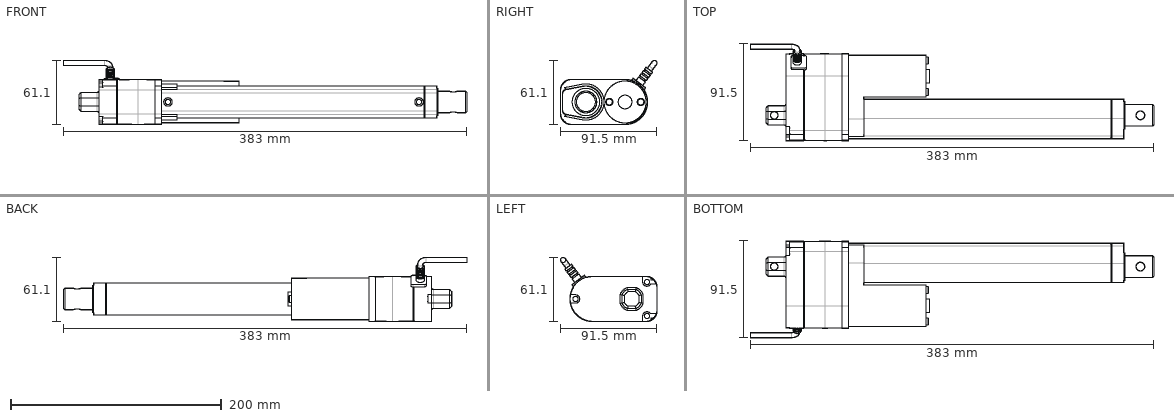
import cadquery as cq
import math


OVERALL_LENGTH = 383.0

HOUSING_HALF_HEIGHT = 21.5
HOUSING_SIDE_Y = -24.0
MOTOR_Y = 37.0
CORNER_RADIUS = 10.0
CORNER_FLAT_DISTANCE = 9.0
CAP_LENGTH = 16.5
GROOVE_WIDTH = 1.0
GROOVE_DEPTH = 0.57
SEAM_X = 37.0
FLANGE_X = 53.2
HOUSING_END_X = 59.5
DRAFT_ANGLE = 0.8

SCREW_POCKET_DIAMETER = 8.0
SCREW_POCKET_DEPTH = 3.5
SIDE_OPENING_WIDTH = 4.2
SCREW_HOLE_DIAMETER = 5.0
SCREW_HOLE_DEPTH = 4.0
CORNER_SCREW_Y = -14.5
CORNER_SCREW_Z = 16.0
MOTOR_SCREW_Y = 53.2

MOTOR_DIAMETER = 40.0
MOTOR_END_X = 133.0
MOTOR_BOSS_DIAMETER = 13.0
MOTOR_BOSS_HEIGHT = 3.5
LUG_DIAMETER = 7.0
LUG_HEIGHT = 2.3
LUG_CHAMFER = 0.57
LUG_OFFSET = 15.0

TUBE_RADIUS = 15.5
TUBE_SIDE_Y = -22.2
TUBE_SLOPE = math.radians(11)
TUBE_FILLET = 3.5
TUBE_GROOVE_X = 308.3
TUBE_END_X = 320.5
RING_DIAMETER = 26.0
RING_HEIGHT = 1.0
COLLAR_RADIUS = 17.2
COLLAR_SIDE_Y = -20.3
COLLAR_UNDERCUT = 2.5
COLLAR_END_X = 74.0
SIDE_SCREW_DIAMETER = 8.0
SIDE_SCREW_DEPTH = 2.3
SIDE_SOCKET_DIAMETER = 5.0
SIDE_SOCKET_DEPTH = 1.0
SIDE_SCREW_XS = (65.5, 303.5)

OUTLET_ANGLE = math.radians(53)
OUTLET_X = 10.7
PAD_X = 12.3
PAD_SIZE = 15.0
PAD_CORNER = 2.0
PAD_BOTTOM = 17.2
PAD_TOP = 22.5
GLAND_DIAMETER = 8.0
GLAND_TOP = 38.3
GLAND_GROOVE_DIAMETER = 6.0
GLAND_GROOVE_WIDTH = 1.5
GLAND_GROOVE_COUNT = 3
GLAND_GROOVE_PITCH = 4.0
CABLE_DIAMETER = 5.0
CABLE_HEIGHT = 46.5
CABLE_BEND_RADIUS = 5.5
CABLE_END_X = -33.7

MOUNT_END_X = -19.0
MOUNT_DIAMETER = 20.0
MOUNT_FLATS = 18.5
MOUNT_CHAMFER = 2.3
MOUNT_BASE_FILLET = 1.72
MOUNT_HOLE_DIAMETER = 7.0
MOUNT_HOLE_X = -11.0

ROD_DIAMETER = 20.5
ROD_END_X = CABLE_END_X + OVERALL_LENGTH
ROD_CHAMFER = 1.35
ROD_HOLE_DIAMETER = 8.0
ROD_HOLE_X = 336.2


def section(x):
    """Workplane across the stroke axis, with local axes along Y and Z."""
    return cq.Workplane("YZ", origin=(x, 0, 0))


def cylinder_x(diameter, x_start, x_end, y=0.0, z=0.0):
    return section(x_start).center(y, z).circle(diameter / 2).extrude(x_end - x_start)


def housing_outline(x, inset=0.0):
    """Gearbox outline: half round about the motor axis, two rounded corners on the tube side."""
    half = HOUSING_HALF_HEIGHT - inset
    side = HOUSING_SIDE_Y + inset
    radius = CORNER_RADIUS - inset
    centre_y = side + radius
    centre_z = half - radius
    arc = radius * math.sqrt(0.5)
    return (
        section(x)
        .moveTo(MOTOR_Y, half)
        .lineTo(centre_y, half)
        .threePointArc((centre_y - arc, centre_z + arc), (side, centre_z))
        .lineTo(side, -centre_z)
        .threePointArc((centre_y - arc, -centre_z - arc), (centre_y, -half))
        .lineTo(MOTOR_Y, -half)
        .threePointArc((MOTOR_Y + half, 0), (MOTOR_Y, half))
        .close()
    )


def cut_corner_flats(body, x_start, x_end):
    """Cut a 45 degree flat across both rounded corners between two X positions."""
    centre_y = HOUSING_SIDE_Y + CORNER_RADIUS
    centre_z = HOUSING_HALF_HEIGHT - CORNER_RADIUS
    for side in (1, -1):
        cutter = (
            cq.Workplane("XY")
            .box(x_end - x_start, CORNER_RADIUS, 2 * CORNER_RADIUS, centered=(False, False, True))
            .translate((x_start, CORNER_FLAT_DISTANCE, 0))
            .rotate((0, 0, 0), (1, 0, 0), 180 - 45 * side)
            .translate((0, centre_y, side * centre_z))
        )
        body = body.cut(cutter)
    return body


def cut_screw_pocket(body, y, z, openings):
    """Round pocket in the rear face with a screw hole, and openings as (Y direction, Z direction, width)."""
    size = SCREW_POCKET_DIAMETER
    body = body.cut(cylinder_x(size, 0, SCREW_POCKET_DEPTH, y, z))
    for across, up, width in openings:
        slot = (
            section(0)
            .center(y + across * size, z + up * size)
            .rect(2 * size if across else width, 2 * size if up else width)
            .extrude(SCREW_POCKET_DEPTH)
        )
        body = body.cut(slot)
    return body.cut(cylinder_x(SCREW_HOLE_DIAMETER, 0, SCREW_POCKET_DEPTH + SCREW_HOLE_DEPTH, y, z))


def make_gearbox():
    middle_x = CAP_LENGTH + GROOVE_WIDTH
    cap = housing_outline(0).extrude(CAP_LENGTH)
    cap = cut_corner_flats(cap, 0, CAP_LENGTH)
    for side in (1, -1):
        openings = [(-1, 0, SIDE_OPENING_WIDTH), (0, side, SCREW_POCKET_DIAMETER)]
        cap = cut_screw_pocket(cap, CORNER_SCREW_Y, side * CORNER_SCREW_Z, openings)
    cap = cut_screw_pocket(cap, MOTOR_SCREW_Y, 0, [(1, 0, SCREW_POCKET_DIAMETER)])

    neck = housing_outline(CAP_LENGTH, GROOVE_DEPTH).extrude(GROOVE_WIDTH)
    rear_half = housing_outline(SEAM_X).extrude(middle_x - SEAM_X, taper=DRAFT_ANGLE)
    front_half = housing_outline(SEAM_X).extrude(FLANGE_X - SEAM_X, taper=DRAFT_ANGLE)
    flange = housing_outline(FLANGE_X).extrude(HOUSING_END_X - FLANGE_X)
    flange = cut_corner_flats(flange, FLANGE_X, HOUSING_END_X)
    return cap.union(neck).union(rear_half).union(front_half).union(flange)


def make_motor():
    motor = cylinder_x(MOTOR_DIAMETER, HOUSING_END_X, MOTOR_END_X, MOTOR_Y)
    boss = cylinder_x(MOTOR_BOSS_DIAMETER, MOTOR_END_X, MOTOR_END_X + MOTOR_BOSS_HEIGHT, MOTOR_Y)
    motor = motor.union(boss)
    for side in (1, -1):
        lug = cylinder_x(LUG_DIAMETER, MOTOR_END_X, MOTOR_END_X + LUG_HEIGHT, MOTOR_Y + side * LUG_OFFSET)
        motor = motor.union(lug.faces(">X").chamfer(LUG_CHAMFER))
    return motor


def tube_outline(x, radius, side_y, undercut=0.0):
    """Round back about the stroke axis, with tangent sloping faces down to a flat or undercut side."""
    tangent_y = -radius * math.sin(TUBE_SLOPE)
    tangent_z = radius * math.cos(TUBE_SLOPE)
    side_z = (radius + side_y * math.sin(TUBE_SLOPE)) / math.cos(TUBE_SLOPE)
    outline = section(x).moveTo(tangent_y, tangent_z).lineTo(side_y, side_z)
    if undercut:
        outline = outline.lineTo(side_y + undercut, side_z - undercut)
        outline = outline.lineTo(side_y + undercut, undercut - side_z)
    return (
        outline.lineTo(side_y, -side_z)
        .lineTo(tangent_y, -tangent_z)
        .threePointArc((radius, 0), (tangent_y, tangent_z))
        .close()
    )


def rounded_tube(x_start, x_end, inset=0.0):
    prism = tube_outline(x_start, TUBE_RADIUS - inset, TUBE_SIDE_Y + inset).extrude(x_end - x_start)
    return prism.faces("<Y").edges("|X").fillet(TUBE_FILLET - inset)


def make_tube():
    groove_end = TUBE_GROOVE_X + GROOVE_WIDTH
    tube = rounded_tube(HOUSING_END_X, TUBE_GROOVE_X)
    collar = tube_outline(HOUSING_END_X, COLLAR_RADIUS, COLLAR_SIDE_Y, COLLAR_UNDERCUT)
    tube = tube.union(collar.extrude(COLLAR_END_X - HOUSING_END_X))
    tube = tube.union(rounded_tube(TUBE_GROOVE_X, groove_end, GROOVE_DEPTH))
    tube = tube.union(rounded_tube(groove_end, TUBE_END_X))
    tube = tube.union(cylinder_x(RING_DIAMETER, TUBE_END_X, TUBE_END_X + RING_HEIGHT))
    side_plane = cq.Workplane("XZ", origin=(0, TUBE_SIDE_Y, 0))
    for x in SIDE_SCREW_XS:
        recess = side_plane.center(x, 0).circle(SIDE_SCREW_DIAMETER / 2).extrude(-SIDE_SCREW_DEPTH)
        socket_depth = SIDE_SCREW_DEPTH + SIDE_SOCKET_DEPTH
        socket = side_plane.center(x, 0).circle(SIDE_SOCKET_DIAMETER / 2).extrude(-socket_depth)
        tube = tube.cut(recess).cut(socket)
    return tube


def make_cable_outlet():
    """Flat pad on the round of the gearbox, ribbed gland, and cable bent towards the rear."""
    radial = cq.Vector(0, math.cos(OUTLET_ANGLE), math.sin(OUTLET_ANGLE))
    along_x = cq.Vector(1, 0, 0)
    motor_axis = cq.Vector(0, MOTOR_Y, 0)

    def across_outlet(x, height):
        """Workplane square to the outlet, at a height above the motor axis."""
        return cq.Workplane(cq.Plane(motor_axis + along_x * x + radial * height, along_x, radial))

    pad = across_outlet(PAD_X, PAD_BOTTOM).rect(PAD_SIZE, PAD_SIZE).extrude(PAD_TOP - PAD_BOTTOM)
    pad = pad.edges(cq.selectors.ParallelDirSelector(radial)).fillet(PAD_CORNER)

    gland = across_outlet(OUTLET_X, PAD_BOTTOM).circle(GLAND_DIAMETER / 2).extrude(GLAND_TOP - PAD_BOTTOM)
    for index in range(1, GLAND_GROOVE_COUNT + 1):
        groove = (
            across_outlet(OUTLET_X, GLAND_TOP - index * GLAND_GROOVE_PITCH)
            .circle(GLAND_DIAMETER)
            .circle(GLAND_GROOVE_DIAMETER / 2)
            .extrude(GLAND_GROOVE_WIDTH)
        )
        gland = gland.cut(groove)

    bend_start = CABLE_HEIGHT - CABLE_BEND_RADIUS
    bend_end_x = OUTLET_X - CABLE_BEND_RADIUS
    arc = CABLE_BEND_RADIUS * math.sqrt(0.5)
    outlet_plane = cq.Plane(motor_axis, along_x, along_x.cross(radial))
    path = (
        cq.Workplane(outlet_plane)
        .moveTo(OUTLET_X, PAD_TOP)
        .lineTo(OUTLET_X, bend_start)
        .threePointArc((bend_end_x + arc, bend_start + arc), (bend_end_x, CABLE_HEIGHT))
        .lineTo(CABLE_END_X, CABLE_HEIGHT)
    )
    cable = across_outlet(OUTLET_X, PAD_TOP).circle(CABLE_DIAMETER / 2).sweep(path)
    return pad.union(gland).union(cable)


def make_actuator_body():
    """Gearbox, motor, tube and cable outlet as one solid."""
    return make_gearbox().union(make_motor()).union(make_tube()).union(make_cable_outlet())


def make_rear_mount():
    """Round bar with four flats, a chamfered end, a flared base and a cross hole."""
    bar = cylinder_x(MOUNT_DIAMETER, MOUNT_END_X, 0)
    bar = bar.intersect(section(MOUNT_END_X).rect(MOUNT_FLATS, MOUNT_FLATS).extrude(-MOUNT_END_X))
    bar = bar.faces("<X").chamfer(MOUNT_CHAMFER)
    plate = section(0).rect(2 * MOUNT_DIAMETER, 2 * MOUNT_DIAMETER).extrude(MOUNT_DIAMETER)
    reach = MOUNT_DIAMETER / 2
    base_corner = cq.selectors.BoxSelector((-MOUNT_CHAMFER, -reach, -reach), (MOUNT_CHAMFER, reach, reach))
    mount = bar.union(plate).edges(base_corner).fillet(MOUNT_BASE_FILLET).cut(plate)
    hole = cq.Workplane("XY").center(MOUNT_HOLE_X, 0).circle(MOUNT_HOLE_DIAMETER / 2)
    return mount.cut(hole.extrude(MOUNT_DIAMETER, both=True))


def make_push_rod():
    rod = cylinder_x(ROD_DIAMETER, TUBE_END_X + RING_HEIGHT, ROD_END_X)
    rod = rod.faces(">X").chamfer(ROD_CHAMFER)
    hole = cq.Workplane("XY").center(ROD_HOLE_X, 0).circle(ROD_HOLE_DIAMETER / 2)
    return rod.cut(hole.extrude(ROD_DIAMETER, both=True))


actuator_body = make_actuator_body()
rear_mount = make_rear_mount()
push_rod = make_push_rod()

result = cq.Compound.makeCompound([actuator_body.val(), rear_mount.val(), push_rod.val()])